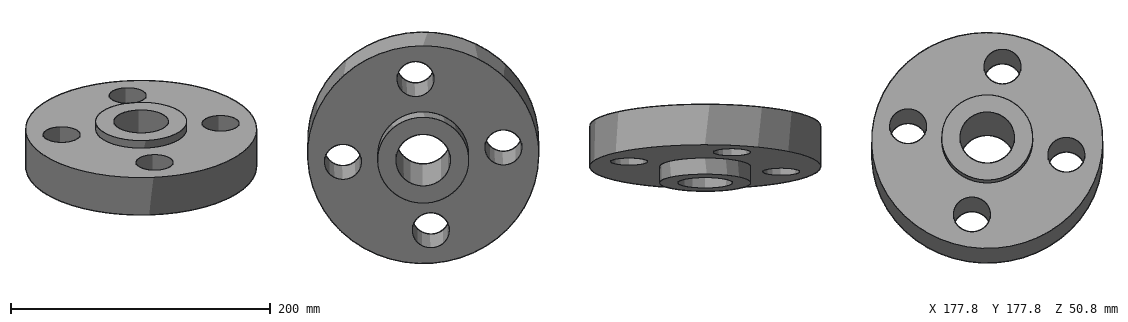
import cadquery as cq

flange_diameter = 177.8
flange_thickness = 31.8

hub_diameter = 70.0
raised_face_height = 6.4
hub_height = 12.6
bore_diameter = 42.0

bolt_count = 4
bolt_hole_diameter = 28.5
bolt_circle_diameter = 124.0
first_bolt_angle = 45.0

total_height = hub_height + flange_thickness + raised_face_height


def cylinder(diameter, height, base_z=0.0):
    """Upright cylinder centred on the Z axis."""
    return cq.Workplane("XY").workplane(offset=base_z).circle(diameter / 2).extrude(height)


hub = cylinder(hub_diameter, total_height)
flange = cylinder(flange_diameter, flange_thickness, hub_height)
bore = cylinder(bore_diameter, total_height)

bolt_holes = (
    cq.Workplane("XY")
    .polarArray(bolt_circle_diameter / 2, first_bolt_angle, 360, bolt_count)
    .circle(bolt_hole_diameter / 2)
    .extrude(total_height)
)

result = flange.union(hub).cut(bore).cut(bolt_holes)